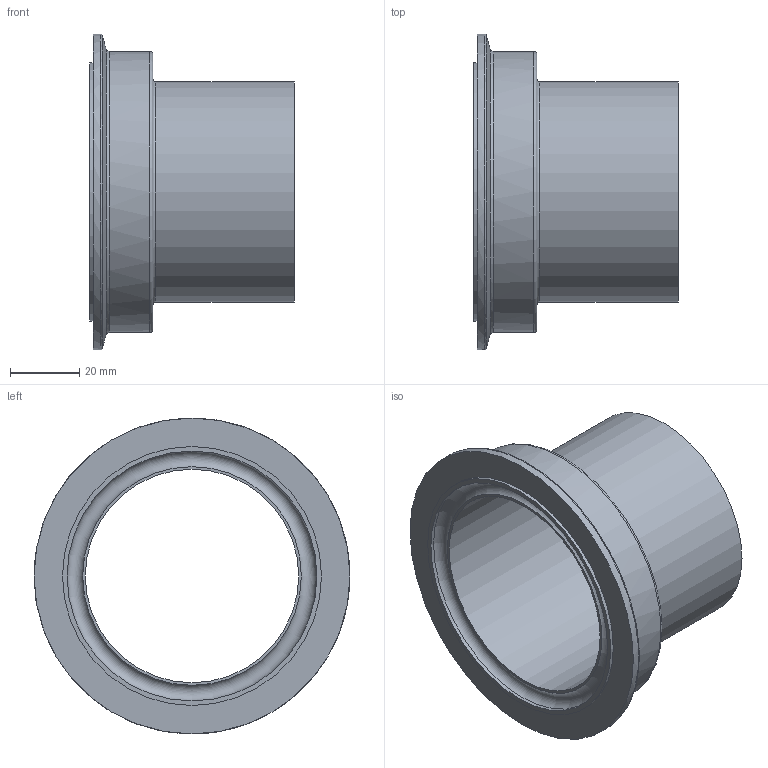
import cadquery as cq
import math

total_length = 59.0
spigot_length = 1.0
rim_end = 3.57
hub_end = 18.25

flange_radius = 91.0 / 2
hub_radius = 81.0 / 2
spigot_radius = 74.6 / 2
tube_radius = 63.5 / 2
bore_radius = 61.5 / 2

taper_angle = math.radians(15)
taper_length = (flange_radius - hub_radius) * math.tan(taper_angle)
hub_start = rim_end + taper_length

groove_outer_radius = 72.0 / 2
groove_inner_radius = 63.0 / 2
groove_wall_length = 1.1
lip_setback = 2.2

rim_fillet = 0.5
taper_root_fillet = 0.9
hub_edge_fillet = 1.0
tube_root_fillet = 0.8


def round_ring_edge(body, x, radius, fillet):
    """Round the circular edge found at the given station and radius."""
    tolerance = 0.01
    box = cq.selectors.BoxSelector(
        (x - tolerance, -radius - tolerance, -radius - tolerance),
        (x + tolerance, radius + tolerance, radius + tolerance),
        boundingbox=True,
    )
    rings = [e for e in body.edges(box).vals() if abs(e.radius() - radius) < tolerance]
    return body.newObject(rings).fillet(fillet)


def turned_ferrule():
    """Tube with hub, flange, raised ring and seal groove, turned in one profile."""
    profile = (
        cq.Workplane("XY")
        .moveTo(lip_setback, bore_radius)
        .lineTo(total_length, bore_radius)
        .lineTo(total_length, tube_radius)
        .lineTo(hub_end, tube_radius)
        .lineTo(hub_end, hub_radius)
        .lineTo(hub_start, hub_radius)
        .lineTo(rim_end, flange_radius)
        .lineTo(spigot_length, flange_radius)
        .lineTo(spigot_length, spigot_radius)
        .lineTo(0, spigot_radius)
        .lineTo(0, groove_outer_radius)
        .lineTo(groove_wall_length, groove_outer_radius)
        .tangentArcPoint((lip_setback, groove_inner_radius), relative=False)
    )
    return profile.close().revolve(360, (0, 0, 0), (1, 0, 0))


result = turned_ferrule()
result = round_ring_edge(result, rim_end, flange_radius, rim_fillet)
result = round_ring_edge(result, hub_start, hub_radius, taper_root_fillet)
result = round_ring_edge(result, hub_end, hub_radius, hub_edge_fillet)
result = round_ring_edge(result, hub_end, tube_radius, tube_root_fillet)